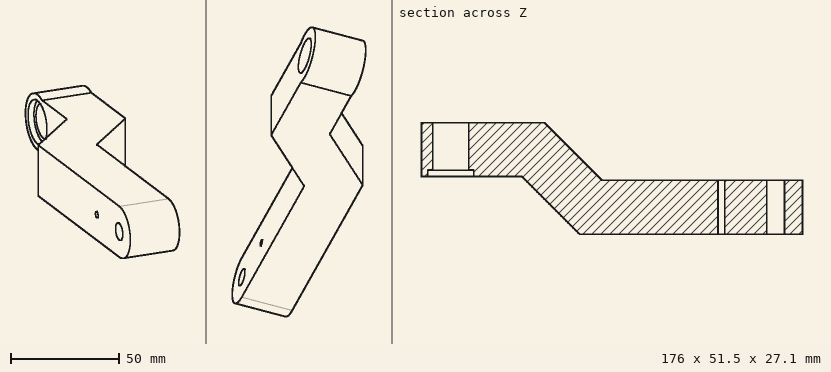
import cadquery as cq
import math

total_length = 176.0
total_width = 51.5
boss_diameter = 27.1
bar_size = 25.0

bore_diameter = 16.5
counterbore_diameter = 21.1
counterbore_depth = 3.0
end_hole_diameter = 8.1
small_hole_diameter = 3.0
small_hole_spacing = 25.0

boss_radius = boss_diameter / 2
end_radius = bar_size / 2
end_hole_x = total_length - boss_radius - end_radius
small_hole_x = end_hole_x - small_hole_spacing

front_bend_x = 33.0
offset = total_width - bar_size
mitre_shift = bar_size * math.tan(math.radians(45 / 2))


def cylinder_y(x, diameter, y_start, length):
    """Cylinder along +Y, with its axis at the given X on the mid-height plane."""
    base = cq.Workplane("XZ", origin=(x, y_start, 0))
    return base.circle(diameter / 2).extrude(-length)


def make_arm():
    """Dogleg bar with a round nose at its far end."""
    bar = (
        cq.Workplane("XY", origin=(0, 0, -bar_size / 2))
        .moveTo(0, offset)
        .lineTo(front_bend_x, offset)
        .lineTo(front_bend_x + offset, 0)
        .lineTo(end_hole_x, 0)
        .lineTo(end_hole_x, bar_size)
        .lineTo(front_bend_x + mitre_shift + offset, bar_size)
        .lineTo(front_bend_x + mitre_shift, total_width)
        .lineTo(0, total_width)
        .close()
        .extrude(bar_size)
    )
    return bar.union(cylinder_y(end_hole_x, bar_size, 0, bar_size))


boss = cylinder_y(0, boss_diameter, offset, bar_size)
result = make_arm().union(boss)

result = result.cut(cylinder_y(0, bore_diameter, offset, bar_size))
result = result.cut(cylinder_y(0, counterbore_diameter, offset, counterbore_depth))

for hole_x, diameter in ((end_hole_x, end_hole_diameter), (small_hole_x, small_hole_diameter)):
    result = result.cut(cylinder_y(hole_x, diameter, 0, bar_size))